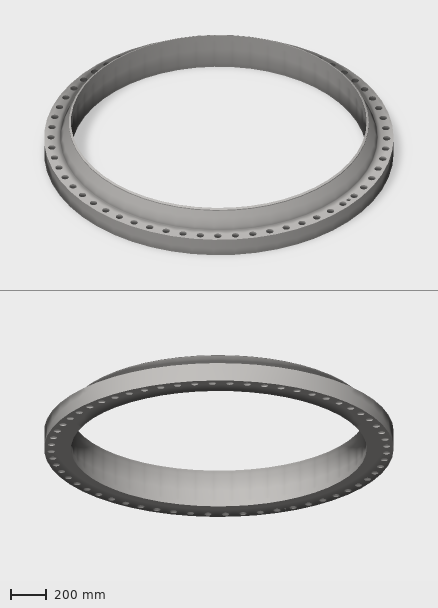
import cadquery as cq
import math

flange_radius = 978.0
flange_thickness = 105.0
bore_radius = 827.0

total_height = 217.0
neck_base_radius = 888.0
neck_tip_radius = 839.0
neck_root_fillet = 5.0

bevel_start_height = 211.0
tip_land_height = 5.0
tip_face_radius = 830.0

bolt_count = 60
bolt_circle_radius = 939.0
bolt_hole_diameter = 41.0

stepped_hole_diameter = 23.0
stepped_hole_depth = flange_thickness / 2
pilot_diameter = 12.0


def point_on_bolt_circle(angle):
    """Point on the bolt circle at an angle in degrees from +X."""
    return (
        bolt_circle_radius * math.cos(math.radians(angle)),
        bolt_circle_radius * math.sin(math.radians(angle)),
    )


def make_body():
    """Revolve the flange and neck section around Z, then round the neck root."""
    section = (
        cq.Workplane("XZ")
        .moveTo(bore_radius, 0)
        .lineTo(flange_radius, 0)
        .lineTo(flange_radius, flange_thickness)
        .lineTo(neck_base_radius, flange_thickness)
        .lineTo(neck_tip_radius, bevel_start_height - tip_land_height)
        .lineTo(neck_tip_radius, bevel_start_height)
        .lineTo(tip_face_radius, total_height)
        .lineTo(bore_radius, total_height)
        .close()
    )
    body = section.revolve(360, (0, 0, 0), (0, 1, 0))
    second_largest_circle = cq.selectors.RadiusNthSelector(-2)
    return body.edges("%CIRCLE").edges(second_largest_circle).fillet(neck_root_fillet)


def drill_bolt_holes(body):
    """Drill the ring of bolt holes through the flange."""
    return (
        body.faces("<Z")
        .workplane(origin=(0, 0, 0))
        .polarArray(bolt_circle_radius, 0, 360, bolt_count)
        .hole(bolt_hole_diameter)
    )


def drill_stepped_hole(body):
    """Drill a pilot through the flange and widen its upper half."""
    half_pitch = 360 / bolt_count / 2
    flange_top = cq.Workplane("XY", origin=(0, 0, flange_thickness))
    hole_centre = flange_top.pushPoints([point_on_bolt_circle(half_pitch)])
    return body.cut(
        hole_centre.circle(pilot_diameter / 2).extrude(-flange_thickness)
    ).cut(
        hole_centre.circle(stepped_hole_diameter / 2).extrude(-stepped_hole_depth)
    )


result = drill_stepped_hole(drill_bolt_holes(make_body()))